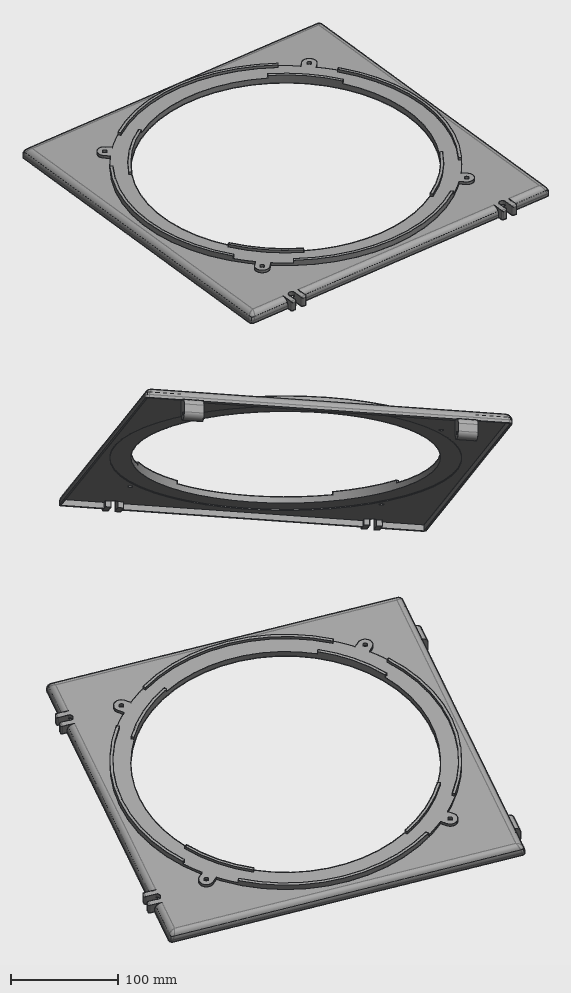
import cadquery as cq
import math

FRAME_SIDE = 352.0
FRAME_HEIGHT = 10.2
TOP_THICKNESS = 4.5
RIM_THICKNESS = 2.0
CORNER_RADIUS = 3.3
TOP_EDGE_RADIUS = 7.3
HALF_SIDE = FRAME_SIDE / 2

HINGE_SPACING = 262.8
HINGE_LENGTH = 19.0
HINGE_DROP = 20.0
HINGE_OVERHANG = 7.3
KNUCKLE_RADIUS = 6.2
PIVOT_HOLE_RADIUS = 1.5
HINGE_OUTER_X = -HALF_SIDE - HINGE_OVERHANG
HINGE_INNER_X = HINGE_OUTER_X + 2 * KNUCKLE_RADIUS

LUG_SPACING = 248.2
PRONG_WIDTH = 5.5
LUG_OVERHANG = 6.0
PRONG_EDGE_RADIUS = 1.5
SLOT_WIDTH = 6.5
SLOT_DEPTH_INTO_FRAME = 8.8

RING_RADIUS = 164.2
RING_BORE_RADIUS = 144.5
RING_RISE = 3.0
RING_DEPTH = 3.3
LIP_HEIGHT = 3.0
LIP_WIDTH = 3.0
OUTER_LIP_ANGLE = 70
INNER_LIP_ANGLE = 28
RING_BOTTOM = FRAME_HEIGHT - RING_DEPTH
RING_TOP = FRAME_HEIGHT + RING_RISE

EAR_OFFSET = 120.5
EAR_RADIUS = 7.3
SCREW_HOLE_RADIUS = 2.2
EAR_CIRCLE_RADIUS = EAR_OFFSET * math.sqrt(2)

DIAGONAL_ANGLES = [45, 135, 225, 315]
SIDE_ANGLES = [0, 90, 180, 270]


def screw_holes():
    """Four vertical cutters that run through the ring ears and the frame."""
    return (
        cq.Workplane("XY")
        .polarArray(EAR_CIRCLE_RADIUS, DIAGONAL_ANGLES[0], 360, len(DIAGONAL_ANGLES))
        .circle(SCREW_HOLE_RADIUS)
        .extrude(RING_TOP)
    )


def tray():
    """Square plate with rounded edges, hollowed from below, with a round opening."""
    outer = (
        cq.Workplane("XY")
        .box(FRAME_SIDE, FRAME_SIDE, FRAME_HEIGHT, centered=(True, True, False))
        .edges("|Z")
        .fillet(CORNER_RADIUS)
        .faces(">Z")
        .edges()
        .fillet(TOP_EDGE_RADIUS)
    )
    inner_side = FRAME_SIDE - 2 * RIM_THICKNESS
    cavity = cq.Workplane("XY").box(
        inner_side, inner_side, FRAME_HEIGHT - TOP_THICKNESS, centered=(True, True, False)
    )
    opening = cq.Workplane("XY").circle(RING_RADIUS).extrude(FRAME_HEIGHT)
    return outer.cut(cavity).cut(opening)


def hinge(center_y):
    """Knuckle with a rounded lower end, a rounded outer shoulder and a pivot hole along Y."""
    pivot_x = HINGE_OUTER_X + KNUCKLE_RADIUS
    pivot_z = KNUCKLE_RADIUS - HINGE_DROP
    diagonal = KNUCKLE_RADIUS * math.sqrt(0.5)
    return (
        cq.Workplane("XZ", origin=(0, center_y, 0))
        .moveTo(HINGE_INNER_X, 0)
        .lineTo(HINGE_INNER_X, pivot_z)
        .threePointArc((pivot_x, -HINGE_DROP), (HINGE_OUTER_X, pivot_z))
        .lineTo(HINGE_OUTER_X, -KNUCKLE_RADIUS)
        .threePointArc((pivot_x - diagonal, diagonal - KNUCKLE_RADIUS), (pivot_x, 0))
        .close()
        .moveTo(pivot_x, pivot_z)
        .circle(PIVOT_HOLE_RADIUS)
        .extrude(HINGE_LENGTH / 2, both=True)
    )


def hinge_rib():
    """Thickening inside the -X rim that runs from hinge to hinge, as deep as the knuckles."""
    inner_face = -HALF_SIDE + RIM_THICKNESS
    return cq.Workplane("XY", origin=(inner_face, 0, 0)).box(
        HINGE_INNER_X - inner_face,
        HINGE_SPACING + HINGE_LENGTH,
        FRAME_HEIGHT - TOP_THICKNESS,
        centered=(False, True, False),
    )


def prong(center_y):
    """One half of a lug: it fills the rounded rim edge and stands out past it."""
    length = TOP_EDGE_RADIUS + LUG_OVERHANG
    return (
        cq.Workplane("XY", origin=(HALF_SIDE - TOP_EDGE_RADIUS, center_y, 0))
        .box(length, PRONG_WIDTH, FRAME_HEIGHT, centered=(False, True, False))
        .edges(">X and (not <Z)")
        .fillet(PRONG_EDGE_RADIUS)
    )


def lug_slot(center_y):
    """Round-ended cutter that carries the gap between two prongs into the frame."""
    end_radius = SLOT_WIDTH / 2
    round_center_x = HALF_SIDE - SLOT_DEPTH_INTO_FRAME + end_radius
    length = HALF_SIDE + LUG_OVERHANG - round_center_x
    start = cq.Workplane("XY", origin=(round_center_x, center_y, 0))
    round_end = start.circle(end_radius).extrude(FRAME_HEIGHT)
    straight = start.box(length, SLOT_WIDTH, FRAME_HEIGHT, centered=(False, True, False))
    return round_end.union(straight)


def build_frame():
    prong_offset = (SLOT_WIDTH + PRONG_WIDTH) / 2
    frame = tray().union(hinge_rib())
    for side in (-1, 1):
        lug_y = side * LUG_SPACING / 2
        frame = frame.union(hinge(side * HINGE_SPACING / 2))
        frame = frame.union(prong(lug_y - prong_offset)).union(prong(lug_y + prong_offset))
        frame = frame.cut(lug_slot(lug_y))
    return frame.cut(screw_holes())


def lip(inner_radius, center_angle, span):
    """Upright arc wall on top of the ring, centred on center_angle."""
    reach = 2 * RING_RADIUS
    half_opening = reach * math.tan(math.radians(span / 2))
    base = cq.Workplane("XY", origin=(0, 0, RING_TOP))
    full_wall = base.circle(inner_radius + LIP_WIDTH).circle(inner_radius).extrude(LIP_HEIGHT)
    sector = (
        base.polyline([(0, 0), (reach, -half_opening), (reach, half_opening)])
        .close()
        .extrude(LIP_HEIGHT)
    )
    return full_wall.intersect(sector.rotate((0, 0, 0), (0, 0, 1), center_angle))


def ear(angle):
    """Round-ended tab that reaches outward from inside the ring."""
    root_radius = (RING_BORE_RADIUS + RING_RADIUS) / 2
    neck_length = EAR_CIRCLE_RADIUS - root_radius
    base = cq.Workplane("XY", origin=(0, 0, FRAME_HEIGHT))
    neck = (
        base.center(root_radius + neck_length / 2, 0)
        .rect(neck_length, 2 * EAR_RADIUS)
        .extrude(RING_RISE)
    )
    tip = base.center(EAR_CIRCLE_RADIUS, 0).circle(EAR_RADIUS).extrude(RING_RISE)
    return neck.union(tip).rotate((0, 0, 0), (0, 0, 1), angle)


def build_ring():
    ring = (
        cq.Workplane("XY", origin=(0, 0, RING_BOTTOM))
        .circle(RING_RADIUS)
        .circle(RING_BORE_RADIUS)
        .extrude(RING_TOP - RING_BOTTOM)
    )
    for angle in SIDE_ANGLES:
        ring = ring.union(lip(RING_RADIUS - LIP_WIDTH, angle, OUTER_LIP_ANGLE))
    for angle in DIAGONAL_ANGLES:
        ring = ring.union(ear(angle))
        ring = ring.union(lip(RING_BORE_RADIUS, angle, INNER_LIP_ANGLE))
    return ring.cut(screw_holes())


frame = build_frame()
ring = build_ring()
result = cq.Compound.makeCompound([frame.val(), ring.val()])